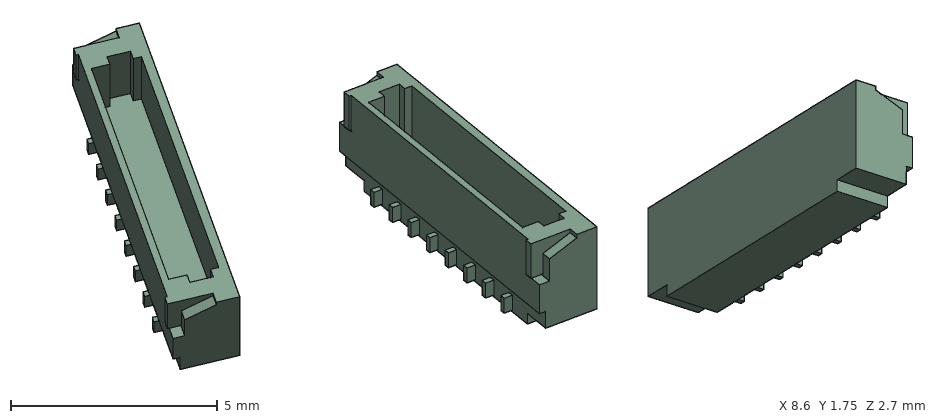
import cadquery as cq

length = 8.6
height = 2.7
depth = 1.685
overhang = 0.06

front_step_depth = 0.18
front_step_height = 0.8
end_step_length = 0.78
end_step_height = 0.31

cavity_end_wall = 0.99
cavity_front_wall = 0.18
cavity_back_wall = 0.24
cavity_depth = 1.72
key_end_wall = 0.76
key_front = 0.645
key_back = 1.24

notch_width = 0.5
notch_back = 1.09
notch_shoulder = 0.29
notch_floor = 1.64
ramp_top = 2.6
ramp_bottom = 2.29
plate_thickness = 0.215
plate_bottom = 1.69

contact_count = 8
contact_pitch = 0.8
contact_width = 0.15
contact_bottom = 0.05
contact_top = 0.49


def block(x_range, y_range, z_range):
    """Box spanning the given ranges."""
    (x0, x1), (y0, y1), (z0, z1) = x_range, y_range, z_range
    return cq.Workplane("XY").box(x1 - x0, y1 - y0, z1 - z0, centered=False).translate((x0, y0, z0))


def corner_profile(x_start, width, front, bottom):
    """Ramped side profile of a notch or plate, extruded along X."""
    return (
        cq.Workplane("YZ", origin=(x_start, 0, 0))
        .moveTo(front, height)
        .lineTo(notch_back, height)
        .lineTo(notch_back, ramp_top)
        .lineTo(notch_shoulder, ramp_bottom)
        .lineTo(notch_shoulder, bottom)
        .lineTo(front, bottom)
        .close()
        .extrude(width)
    )


def make_housing():
    half = length / 2
    body = block((-half, half), (0, depth), (0, height))
    body = body.cut(block((-half, half), (0, front_step_depth), (0, front_step_height)))
    left_step = block((-half, -half + end_step_length), (0, depth), (0, end_step_height))
    return body.cut(left_step).cut(left_step.mirror("YZ"))


def make_cavity():
    half_cavity = length / 2 - cavity_end_wall
    half_key = length / 2 - key_end_wall
    z_range = (height - cavity_depth, height)
    main = block((-half_cavity, half_cavity), (cavity_front_wall, depth - cavity_back_wall), z_range)
    return main.union(block((-half_key, half_key), (key_front, key_back), z_range))


def add_contacts(body):
    """Row of contacts standing on the recessed lower front."""
    for index in range(contact_count):
        x = (index - (contact_count - 1) / 2) * contact_pitch
        contact = block(
            (x - contact_width / 2, x + contact_width / 2),
            (-overhang, front_step_depth),
            (contact_bottom, contact_top),
        )
        body = body.union(contact)
    return body


notch = corner_profile(-length / 2, notch_width, 0, notch_floor)
plate_start = -length / 2 + notch_width - plate_thickness
plate = corner_profile(plate_start, plate_thickness, -overhang, plate_bottom)

result = make_housing().cut(make_cavity())
result = result.cut(notch).cut(notch.mirror("YZ"))
result = result.union(plate).union(plate.mirror("YZ"))
result = add_contacts(result)